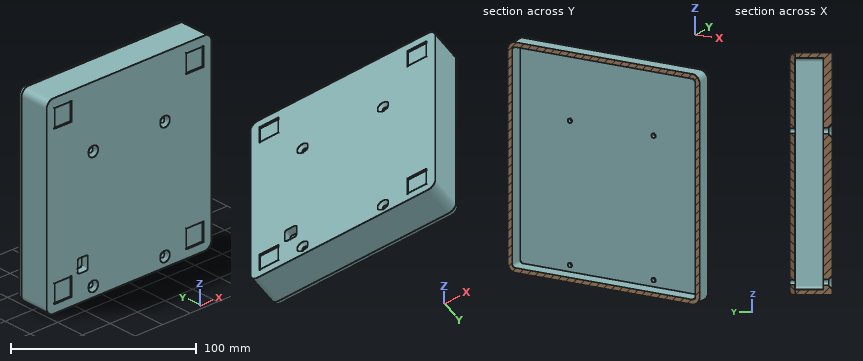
import cadquery as cq
import math


width = 120.0
depth = 23.0
height = 130.5
corner_radius = 5.0

lid_thickness = 3.0
lid_edge_radius = 2.0
lid_middle_radius = 2.9
lid_shoulder_radius = 2.7
lid_shoulder_x = 33.9

wall = 3.0
floor_thickness = 5.0
housing_depth = depth - lid_thickness

foot_size = 12.5
foot_edge_distance = 12.0
foot_spacing_z = 106.0
foot_depth = 1.0

screw_spacing_x = 52.2
screw_spacing_z = 81.5
lower_screw_edge_distance = 6.8
screw_clearance_diameter = 3.0
screw_head_diameter = 7.0
screw_pilot_diameter = 2.5

reset_width = 7.6
reset_height = 9.3
reset_corner_radius = 1.5
reset_side_distance = 26.2
reset_bottom_distance = 22.6

lower_screw_z = lower_screw_edge_distance - height / 2
screw_points = [
    (x, z)
    for x in (-screw_spacing_x / 2, screw_spacing_x / 2)
    for z in (lower_screw_z, lower_screw_z + screw_spacing_z)
]
reset_x = reset_side_distance - width / 2
reset_z = reset_bottom_distance - height / 2


def plane_at(y):
    """Sketch plane with local axes X and Z; a negative extrusion runs toward +Y."""
    return cq.Workplane("XZ", origin=(0, y, 0))


def rounded_block(block_width, block_height, radius, y_start, y_end):
    """Block between two Y levels with its four Y-parallel edges rounded."""
    block = plane_at(y_start).rect(block_width, block_height).extrude(y_start - y_end)
    return block.edges("|Y").fillet(radius)


def foot_recesses():
    """Four square recesses, centred on the corners of a rectangle."""
    spacing_x = width - 2 * foot_edge_distance
    lower_z = foot_edge_distance - height / 2
    points = [(x, z) for x in (-spacing_x / 2, spacing_x / 2) for z in (lower_z, lower_z + foot_spacing_z)]
    return plane_at(0).pushPoints(points).rect(foot_size, foot_size).extrude(-foot_depth)


def countersunk_holes():
    """Clearance holes through the floor with 90 degree countersinks."""
    sink_depth = (screw_head_diameter - screw_clearance_diameter) / 2
    circles = plane_at(0).pushPoints(screw_points).circle(screw_clearance_diameter / 2)
    holes = circles.extrude(-floor_thickness)
    for x, z in screw_points:
        sink = cq.Solid.makeCone(
            screw_head_diameter / 2,
            screw_clearance_diameter / 2,
            sink_depth,
            cq.Vector(x, 0, z),
            cq.Vector(0, 1, 0),
        )
        holes = holes.add(sink)
    return holes.combine()


def reset_opening():
    """Rounded opening through the floor."""
    opening = rounded_block(reset_width, reset_height, reset_corner_radius, 0, floor_thickness)
    return opening.translate((reset_x, 0, reset_z))


def rounding_section(x, radius):
    """Corner area outside a quarter circle, at one X, along the top back edge of the lid."""
    top = height / 2
    corner = cq.Vector(x, depth, top)
    arc_start = cq.Vector(x, depth - radius, top)
    arc_end = cq.Vector(x, depth, top - radius)
    arc_inset = radius * (1 - math.sqrt(0.5))
    arc_middle = cq.Vector(x, depth - arc_inset, top - arc_inset)
    edges = [
        cq.Edge.makeLine(corner, arc_start),
        cq.Edge.makeThreePointArc(arc_start, arc_middle, arc_end),
        cq.Edge.makeLine(arc_end, corner),
    ]
    return cq.Wire.assembleEdges(edges)


def top_edge_rounding():
    """Cutter whose radius grows smoothly from both corners to the middle of the lid's top edge."""
    straight_end = width / 2 - corner_radius
    stations = [
        (-straight_end, lid_edge_radius),
        (-lid_shoulder_x, lid_shoulder_radius),
        (0, lid_middle_radius),
        (lid_shoulder_x, lid_shoulder_radius),
        (straight_end, lid_edge_radius),
    ]
    sections = [rounding_section(x, radius) for x, radius in stations]
    return cq.Solid.makeLoft(sections)


def make_housing():
    """Open box with all its floor features."""
    shell = rounded_block(width, height, corner_radius, 0, housing_depth)
    cavity = rounded_block(
        width - 2 * wall, height - 2 * wall, corner_radius - wall, floor_thickness, housing_depth
    )
    return shell.cut(cavity).cut(foot_recesses()).cut(countersunk_holes()).cut(reset_opening())


def make_lid():
    """Plate with a rounded back edge and pilot holes for the screws."""
    plate = rounded_block(width, height, corner_radius, housing_depth, depth)
    plate = plate.faces(">Y").edges().fillet(lid_edge_radius)
    pilots = plane_at(housing_depth).pushPoints(screw_points).circle(screw_pilot_diameter / 2)
    plate = plate.cut(pilots.extrude(-lid_thickness))
    return plate.cut(cq.Workplane(top_edge_rounding()))


housing = make_housing()
lid = make_lid()
result = cq.Compound.makeCompound([*housing.solids().vals(), *lid.solids().vals()])